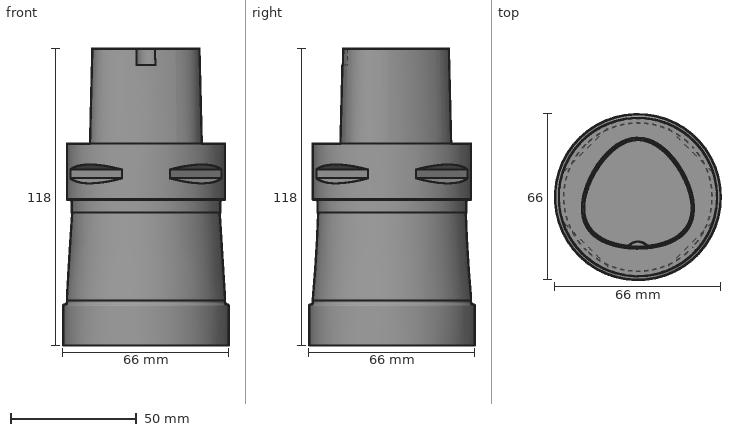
import cadquery as cq
import math

total_height = 118.0
nut_height = 17.9
neck_bottom = 52.9
flange_bottom = 57.8
flange_top = 80.2

flange_radius = 63.0 / 2
cone_top_radius = 58.8 / 2
neck_radius = 29.6
nut_radius = 66.0 / 2
flange_chamfer = 0.4
neck_fillet = 0.6
body_rim_height = 0.8
nut_shoulder_z = 16.4
nut_top_fillet = 0.8
nut_bottom_fillet = 0.5

shank_radius = 22.1
lobe_height = 1.5
shank_taper = 1 / 40
lobe_count = 3
points_per_face = 8

notch_radius = 4.7
notch_center_y = -22.4
notch_depth = 6.5

groove_count = 4
groove_depth = 3.5
groove_floor_width = 3.4
groove_center_z = 68.2
groove_wall_angle = 30.0


def lobed_point(angle, radius, z):
    """Point on a hypotrochoid whose first lobe points to +Y."""
    across = radius * math.sin(angle) - lobe_height * math.sin(2 * angle)
    along = radius * math.cos(angle) + lobe_height * math.cos(2 * angle)
    return cq.Vector(-across, along, z)


def lobed_tangent(angle, radius):
    """Direction of travel along the hypotrochoid."""
    across = radius * math.cos(angle) - 2 * lobe_height * math.cos(2 * angle)
    along = -radius * math.sin(angle) - 2 * lobe_height * math.sin(2 * angle)
    return cq.Vector(-across, along, 0)


def lobed_wire(radius, z):
    """Closed outline with one curve for each lobe and each flank."""
    face_angle = math.pi / lobe_count
    edges = []
    for face in range(2 * lobe_count):
        start = (face - 0.5) * face_angle
        angles = [start + face_angle * i / points_per_face for i in range(points_per_face + 1)]
        points = [lobed_point(angle, radius, z) for angle in angles]
        tangents = [lobed_tangent(angles[0], radius), lobed_tangent(angles[-1], radius)]
        edges.append(cq.Edge.makeSpline(points, tangents=tangents))
    return cq.Wire.assembleEdges(edges)


def make_shank():
    top_radius = shank_radius - shank_taper * (total_height - flange_top)
    wires = [lobed_wire(shank_radius, flange_top), lobed_wire(top_radius, total_height)]
    shank = cq.Workplane(cq.Solid.makeLoft(wires, True))
    notch = (
        cq.Workplane("XY", origin=(0, notch_center_y, total_height))
        .circle(notch_radius)
        .extrude(-notch_depth)
    )
    return shank.cut(notch)


def make_turned_body():
    """Flange, filleted neck and cone, revolved about Z."""
    fillet_middle = neck_fillet * (1 - math.sqrt(0.5))
    return (
        cq.Workplane("XZ")
        .moveTo(0, nut_height)
        .lineTo(flange_radius, nut_height)
        .lineTo(flange_radius, nut_height + body_rim_height)
        .lineTo(cone_top_radius, neck_bottom)
        .lineTo(neck_radius, neck_bottom)
        .lineTo(neck_radius, flange_bottom - neck_fillet)
        .threePointArc(
            (neck_radius + fillet_middle, flange_bottom - fillet_middle),
            (neck_radius + neck_fillet, flange_bottom),
        )
        .lineTo(flange_radius - flange_chamfer, flange_bottom)
        .lineTo(flange_radius, flange_bottom + flange_chamfer)
        .lineTo(flange_radius, flange_top)
        .lineTo(0, flange_top)
        .close()
        .revolve(360, (0, 0), (0, 1))
    )


def make_groove():
    """Straight trapezoidal cutter on the +X side of the flange."""
    floor_x = flange_radius - groove_depth
    half_floor = groove_floor_width / 2
    half_mouth = half_floor + groove_depth * math.tan(math.radians(groove_wall_angle))
    return (
        cq.Workplane("XZ")
        .polyline([
            (floor_x, groove_center_z - half_floor),
            (flange_radius, groove_center_z - half_mouth),
            (flange_radius, groove_center_z + half_mouth),
            (floor_x, groove_center_z + half_floor),
        ])
        .close()
        .extrude(flange_radius, both=True)
    )


def make_holder():
    holder = make_turned_body().union(make_shank())
    groove = make_groove()
    pitch = 360 / groove_count
    for i in range(groove_count):
        holder = holder.cut(groove.rotate((0, 0, 0), (0, 0, 1), (i + 0.5) * pitch))
    return holder


def make_nut():
    """Clamping nut below the holder, with an S-shaped shoulder up to the holder's rim."""
    shoulder_radius = nut_radius - nut_top_fillet
    hollow_radius = shoulder_radius - flange_radius
    nut = (
        cq.Workplane("XZ")
        .lineTo(nut_radius, 0)
        .lineTo(nut_radius, nut_shoulder_z - nut_top_fillet)
        .tangentArcPoint((shoulder_radius, nut_shoulder_z), relative=False)
        .tangentArcPoint((flange_radius, nut_shoulder_z + hollow_radius), relative=False)
        .lineTo(flange_radius, nut_height)
        .lineTo(0, nut_height)
        .close()
        .revolve(360, (0, 0), (0, 1))
    )
    return nut.faces("<Z").edges().fillet(nut_bottom_fillet)


holder = make_holder()
nut = make_nut()
result = cq.Compound.makeCompound([holder.val(), nut.val()])